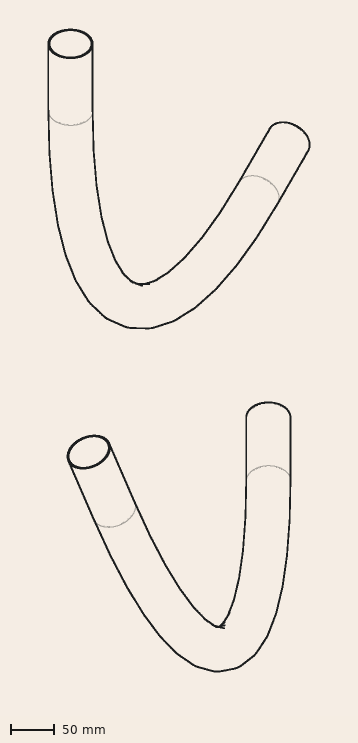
import cadquery as cq
import math

overall_size = 736.5
outer_diameter = 51.0
inner_diameter = 48.0
leg_length = 100.0

outer_radius = outer_diameter / 2
bend_radius = overall_size - outer_radius - leg_length
bend_offset = bend_radius * (1 - math.cos(math.radians(45)))

centreline = (
    cq.Workplane("YZ")
    .moveTo(0, bend_radius + leg_length)
    .lineTo(0, bend_radius)
    .threePointArc((bend_offset, bend_offset), (bend_radius, 0))
    .lineTo(bend_radius + leg_length, 0)
)

ring = (
    cq.Workplane("XY", origin=(0, 0, bend_radius + leg_length))
    .circle(outer_radius)
    .circle(inner_diameter / 2)
)
result = ring.sweep(centreline)